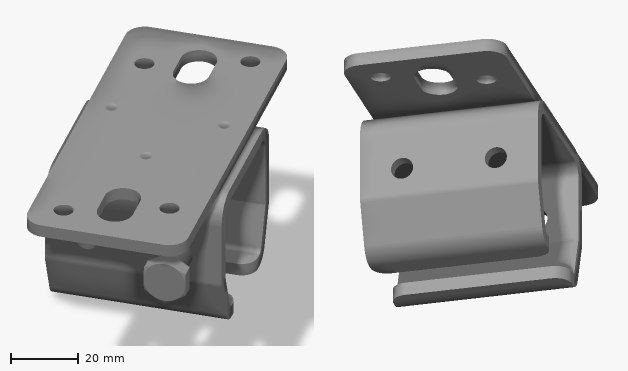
import cadquery as cq
import math


PLATE_LENGTH = 115.0
PLATE_WIDTH = 50.0
PLATE_THICKNESS = 4.0
PLATE_CORNER_RADIUS = 6.0

SLOT_LENGTH = 19.0
SLOT_WIDTH = 11.0
SLOT_OFFSET_Y = 40.0

SCREW_HOLE_DIAMETER = 6.0
SCREW_HOLE_X = 15.0
SCREW_HOLE_NEAR_Y = 37.5
SCREW_HOLE_FAR_Y = 47.5
SCREW_HOLE_POINTS = [
    (SCREW_HOLE_X, SCREW_HOLE_FAR_Y),
    (-SCREW_HOLE_X, SCREW_HOLE_NEAR_Y),
    (SCREW_HOLE_X, -SCREW_HOLE_NEAR_Y),
    (-SCREW_HOLE_X, -SCREW_HOLE_FAR_Y),
]

DIMPLE_DIAMETER = 4.0
DIMPLE_DEPTH = 0.5
DIMPLE_PAIR_X = 17.5
DIMPLE_ROW_Y = 11.5
DIMPLE_POINTS = [
    (-DIMPLE_PAIR_X, DIMPLE_ROW_Y),
    (DIMPLE_PAIR_X, DIMPLE_ROW_Y),
    (0.0, -DIMPLE_ROW_Y),
]

CHANNEL_LENGTH = 55.0
CHANNEL_WIDTH = 50.0
CHANNEL_HEIGHT = 46.0
WALL = 4.0
TOP_BEND_INNER_RADIUS = 4.0
LIP_BEND_INNER_RADIUS = 2.0
KNEE_HEIGHT = 17.8
LEAN_ANGLE = 20.0
LIP_GAP = 16.0
LIP_CORNER_RADIUS = 5.0
KNEE_SELECT_MARGIN = 0.1

SIDE_HOLE_DIAMETER = 6.8
SIDE_HOLE_X = 14.5
SIDE_HOLE_Z = -20.0

BOLT_DIAMETER = 8.0
BOLT_LENGTH = 16.0
BOLT_TIP_Y = -20.0
BOLT_TIP_DIAMETER = 6.9
BOLT_NECK_FILLET = 0.4
COLLAR_DIAMETER = 11.63
COLLAR_THICKNESS = 0.6
HEAD_HEIGHT = 5.3
HEAD_SIDES = 6
HEAD_ACROSS_FLATS = 13.0
HEAD_CROWN_ANGLE = 30.0


def make_dimple_cutter():
    """Ball that sinks a shallow spherical cap into the plate top."""
    rim_radius = DIMPLE_DIAMETER / 2
    ball_radius = (rim_radius**2 + DIMPLE_DEPTH**2) / (2 * DIMPLE_DEPTH)
    ball = cq.Workplane("XY").sphere(ball_radius).rotate((0, 0, 0), (1, 0, 0), 90)
    return ball.translate((0, 0, ball_radius - DIMPLE_DEPTH))


def make_plate():
    plate = (
        cq.Workplane("XY")
        .rect(PLATE_WIDTH, PLATE_LENGTH)
        .extrude(PLATE_THICKNESS)
        .edges("|Z")
        .fillet(PLATE_CORNER_RADIUS)
    )
    slots = (
        cq.Workplane("XY")
        .pushPoints([(0, -SLOT_OFFSET_Y), (0, SLOT_OFFSET_Y)])
        .slot2D(SLOT_LENGTH, SLOT_WIDTH, 90)
        .extrude(PLATE_THICKNESS)
    )
    screw_holes = (
        cq.Workplane("XY")
        .pushPoints(SCREW_HOLE_POINTS)
        .circle(SCREW_HOLE_DIAMETER / 2)
        .extrude(PLATE_THICKNESS)
    )
    plate = plate.cut(slots).cut(screw_holes)
    dimple_cutter = make_dimple_cutter()
    for x, y in DIMPLE_POINTS:
        plate = plate.cut(dimple_cutter.translate((x, y, PLATE_THICKNESS)))
    return plate


def make_channel_block(wall_y, top_z, knee_z, bottom_z, top_radius, lip_radius):
    """Solid bar with upright sides that lean inward below the knee, with rounded top and bottom edges."""
    bottom_y = wall_y - (knee_z - bottom_z) * math.tan(math.radians(LEAN_ANGLE))
    bar = (
        cq.Workplane("YZ")
        .polyline(
            [
                (-wall_y, top_z),
                (wall_y, top_z),
                (wall_y, knee_z),
                (bottom_y, bottom_z),
                (-bottom_y, bottom_z),
                (-wall_y, knee_z),
            ]
        )
        .close()
        .extrude(CHANNEL_LENGTH / 2, both=True)
    )
    bar = bar.faces(">Z").edges("|X").fillet(top_radius)
    return bar.faces("<Z").edges("|X").fillet(lip_radius)


def make_side_holes():
    """Two cross-drilled holes through both side walls."""
    return (
        cq.Workplane("XZ")
        .pushPoints([(-SIDE_HOLE_X, SIDE_HOLE_Z), (SIDE_HOLE_X, SIDE_HOLE_Z)])
        .circle(SIDE_HOLE_DIAMETER / 2)
        .extrude(CHANNEL_WIDTH / 2, both=True)
    )


def make_channel():
    outer_y = CHANNEL_WIDTH / 2
    inner_y = outer_y - WALL
    inner_knee_z = KNEE_HEIGHT - CHANNEL_HEIGHT
    outer_knee_z = inner_knee_z - WALL * math.tan(math.radians(LEAN_ANGLE / 2))
    outer = make_channel_block(
        outer_y,
        0.0,
        outer_knee_z,
        -CHANNEL_HEIGHT,
        TOP_BEND_INNER_RADIUS + WALL,
        LIP_BEND_INNER_RADIUS + WALL,
    )
    knee_selector = cq.selectors.BoxSelector(
        (-CHANNEL_LENGTH, -CHANNEL_WIDTH, outer_knee_z - KNEE_SELECT_MARGIN),
        (CHANNEL_LENGTH, CHANNEL_WIDTH, outer_knee_z + KNEE_SELECT_MARGIN),
    )
    outer = outer.edges("|X").edges(knee_selector).fillet(WALL)
    inner = make_channel_block(
        inner_y,
        -WALL,
        inner_knee_z,
        WALL - CHANNEL_HEIGHT,
        TOP_BEND_INNER_RADIUS,
        LIP_BEND_INNER_RADIUS,
    )
    gap = cq.Workplane("XY", origin=(0, 0, -CHANNEL_HEIGHT)).rect(CHANNEL_LENGTH, LIP_GAP).extrude(2 * WALL)
    channel = outer.cut(inner).cut(gap)

    lip_half = LIP_GAP / 2
    lip_corners = cq.selectors.BoxSelector(
        (-CHANNEL_LENGTH, -lip_half - WALL / 2, -CHANNEL_HEIGHT),
        (CHANNEL_LENGTH, lip_half + WALL / 2, WALL - CHANNEL_HEIGHT),
    )
    channel = channel.edges("|Z").edges(lip_corners).fillet(LIP_CORNER_RADIUS)

    bolt_hole = (
        cq.Workplane("XZ", origin=(SIDE_HOLE_X, 0, SIDE_HOLE_Z))
        .circle(BOLT_DIAMETER / 2)
        .extrude(outer_y)
    )
    return channel.cut(make_side_holes()).cut(bolt_hole)


def make_bolt():
    """Hex bolt built along its axis with the shank tip at the origin, then set into the -Y wall."""
    radius = BOLT_DIAMETER / 2
    tip_radius = BOLT_TIP_DIAMETER / 2
    collar_radius = COLLAR_DIAMETER / 2
    tip_chamfer = radius - tip_radius
    collar_end = BOLT_LENGTH + COLLAR_THICKNESS
    bolt_end = BOLT_LENGTH + HEAD_HEIGHT

    shank = (
        cq.Workplane("XY")
        .moveTo(0, 0)
        .lineTo(tip_radius, 0)
        .lineTo(radius, tip_chamfer)
        .lineTo(radius, BOLT_LENGTH - BOLT_NECK_FILLET)
        .radiusArc((radius + BOLT_NECK_FILLET, BOLT_LENGTH), BOLT_NECK_FILLET)
        .lineTo(collar_radius, BOLT_LENGTH)
        .lineTo(collar_radius, collar_end)
        .lineTo(0, collar_end)
        .close()
        .revolve(360, (0, 0), (0, 1))
    )

    across_corners = HEAD_ACROSS_FLATS / math.cos(math.pi / HEAD_SIDES)
    hexagon = (
        cq.Workplane("XZ", origin=(0, collar_end, 0))
        .transformed(rotate=(0, 0, 90))
        .polygon(HEAD_SIDES, across_corners)
        .extrude(collar_end - bolt_end)
    )
    crown_radius = HEAD_ACROSS_FLATS / 2
    crown_depth = (across_corners - crown_radius) * math.tan(math.radians(HEAD_CROWN_ANGLE))
    crown = (
        cq.Workplane("XY")
        .moveTo(0, collar_end)
        .lineTo(across_corners, collar_end)
        .lineTo(across_corners, bolt_end - crown_depth)
        .lineTo(crown_radius, bolt_end)
        .lineTo(0, bolt_end)
        .close()
        .revolve(360, (0, 0), (0, 1))
    )
    bolt = shank.union(hexagon.intersect(crown))
    return bolt.rotate((0, 0, 0), (0, 0, 1), 180).translate((SIDE_HOLE_X, BOLT_TIP_Y, SIDE_HOLE_Z))


plate = make_plate()
channel = make_channel()
bolt = make_bolt()

result = cq.Compound.makeCompound([plate.solids().val(), channel.solids().val(), bolt.solids().val()])